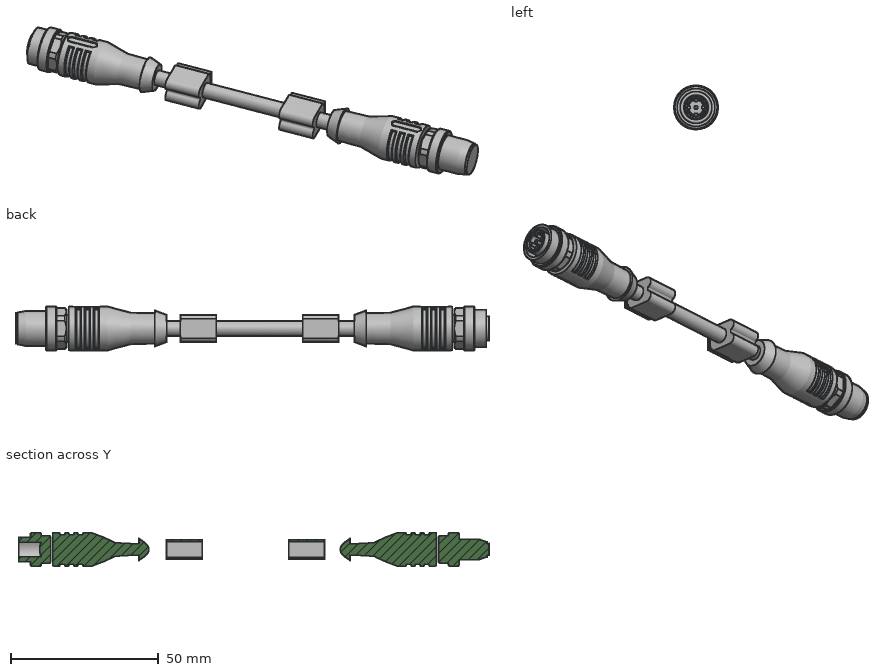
import cadquery as cq
import math

total_length = 160.4
half_length = total_length / 2
cable_diameter = 5.2
cable_embedding = 1.0

grip_diameter = 15.0
grip_front_taper_length = 0.6
grip_front_taper_height = 0.1
grip_cylinder_length = 13.2
grip_neck_start = 21.0
grip_neck_diameter = 10.8
sleeve_start = 29.2
sleeve_root_diameter = 10.5
sleeve_rim_diameter = 12.3
grip_length = 33.2
sleeve_end_diameter = 9.3

groove_count = 3
groove_pitch = 3.05
first_groove_center = 3.3
groove_top_width = 2.0
groove_floor_width = 1.2
groove_depth = 0.5
groove_free_half_width = 3.0

slot_start = 0.8
slot_length = 10.6
slot_width = 2.4
slot_depth = 0.5

collar_diameter = 15.0
collar_chamfer = 0.35
hex_across_flats = 13.0
hex_corner_diameter = 14.0
hex_chamfer_length = 0.6
hex_chamfer_height = 0.6
neck_diameter = 9.3

socket_insert_projection = 1.0
socket_sleeve_diameter = 12.8
socket_collar_start = 4.9
socket_hex_start = 8.7
socket_hex_end = 11.9
socket_grip_start = 12.5
socket_bore_diameter = 10.8
socket_bore_end = 8.7
insert_diameter = 8.3
recess_rim_diameter = 7.4
recess_floor_diameter = 6.15
recess_depth = 0.3
contact_diameter = 1.15
contact_offset = 2.5
contact_depth = 6.0

plug_tip_diameter = 10.5
plug_tip_length = 0.7
plug_lead_diameter = 10.95
plug_thread_diameter = 12.0
plug_thread_start = 3.4
plug_collar_start = 10.1
plug_hex_start = 13.9
plug_hex_end = 17.2
plug_grip_start = 17.9

clip_length = 12.2
clip_centers = (-23.1, 18.3)
clip_half_height = 4.6
clip_front = -6.05
clip_back = 4.7
clip_corner_radius = 2.05
lip_wrap_angle = 65
lip_groove_sag = 0.3
tab_back = 6.05
tab_half_height = 3.3
label_slot_front = 4.75
label_slot_back = 5.45
label_slot_half_height = 2.6


def cylinder(start, end, diameter):
    """Round bar along X."""
    return cq.Workplane("YZ", origin=(start, 0, 0)).circle(diameter / 2).extrude(end - start)


def hex_section(start, end):
    """Hexagon with flats on +/-Y, rounded corners and a chamfered end towards the grip."""
    plane = cq.Workplane("YZ", origin=(start, 0, 0))
    hexagon = plane.polygon(6, hex_across_flats, circumscribed=True).extrude(end - start)
    envelope = cylinder(start, end, hex_corner_diameter)
    return hexagon.intersect(envelope.faces(">X").chamfer(hex_chamfer_length, hex_chamfer_height))


def collar(start, end):
    return cylinder(start, end, collar_diameter).edges().chamfer(collar_chamfer)


def grip_body():
    """Turned outline of the grip, front face at X = 0."""
    outline = [
        (0, 0),
        (0, grip_diameter / 2 - grip_front_taper_height),
        (grip_front_taper_length, grip_diameter / 2),
        (grip_cylinder_length, grip_diameter / 2),
        (grip_neck_start, grip_neck_diameter / 2),
        (sleeve_start, sleeve_root_diameter / 2),
        (sleeve_start, sleeve_rim_diameter / 2),
        (grip_length, sleeve_end_diameter / 2),
        (grip_length, 0),
    ]
    return cq.Workplane("XY").polyline(outline).close().revolve(360, (0, 0, 0), (1, 0, 0))


def finger_grooves():
    """Ring-shaped cutters, interrupted over the top and the bottom of the grip."""
    outer_radius = grip_diameter / 2
    floor_radius = outer_radius - groove_depth
    half_top = groove_top_width / 2
    half_floor = groove_floor_width / 2
    gap = cq.Workplane("XY").box(grip_length, 2 * groove_free_half_width, 2 * grip_diameter)
    cutters = cq.Workplane("XY")
    for index in range(groove_count):
        center = first_groove_center + index * groove_pitch
        section = [
            (center - half_top, outer_radius),
            (center - half_floor, floor_radius),
            (center + half_floor, floor_radius),
            (center + half_top, outer_radius),
            (center + half_top, grip_diameter),
            (center - half_top, grip_diameter),
        ]
        ring = cq.Workplane("XY").polyline(section).close().revolve(360, (0, 0, 0), (1, 0, 0))
        cutters = cutters.add(ring.cut(gap))
    return cutters.combine()


def index_slot():
    center = slot_start + slot_length / 2
    floor = cq.Workplane("XY", origin=(center, 0, grip_diameter / 2 - slot_depth))
    return floor.slot2D(slot_length, slot_width).extrude(grip_diameter)


def grip():
    return grip_body().cut(finger_grooves()).cut(index_slot())


def socket_connector():
    """Female end: round bore with a seal ring and a projecting contact insert, front at X = 0."""
    sleeve = cylinder(socket_insert_projection, socket_hex_start, socket_sleeve_diameter)
    body = sleeve.union(collar(socket_collar_start, socket_hex_start))
    body = body.union(hex_section(socket_hex_start, socket_hex_end))
    body = body.cut(cylinder(0, socket_bore_end, socket_bore_diameter))
    body = body.union(cylinder(socket_hex_start, socket_grip_start, neck_diameter))

    gap_width = (socket_bore_diameter - insert_diameter) / 2
    ring_radius = (socket_bore_diameter + insert_diameter) / 4
    seal_profile = cq.Workplane("XY").center(socket_bore_end, ring_radius).circle(gap_width / 2)
    body = body.union(seal_profile.revolve(360, (0, -ring_radius, 0), (1, -ring_radius, 0)))

    insert = cylinder(0, socket_hex_end, insert_diameter)
    recess = cq.Workplane("YZ").circle(recess_rim_diameter / 2).workplane(offset=recess_depth)
    insert = insert.cut(recess.circle(recess_floor_diameter / 2).loft())
    contacts = [(0, 0)]
    for side in (-contact_offset, contact_offset):
        contacts += [(side, 0), (0, side)]
    holes = cq.Workplane("YZ").pushPoints(contacts).circle(contact_diameter / 2).extrude(contact_depth)
    body = body.union(insert.cut(holes))
    return body.union(grip().translate((socket_grip_start, 0, 0)))


def plug_connector():
    """Male end, front at X = 0 and cable towards +X."""
    outline = [
        (0, 0),
        (0, plug_tip_diameter / 2),
        (plug_tip_length, plug_tip_diameter / 2),
        (plug_tip_length, plug_lead_diameter / 2),
        (plug_thread_start, plug_thread_diameter / 2),
        (plug_collar_start, plug_thread_diameter / 2),
        (plug_collar_start, 0),
    ]
    body = cq.Workplane("XY").polyline(outline).close().revolve(360, (0, 0, 0), (1, 0, 0))
    body = body.union(collar(plug_collar_start, plug_hex_start))
    body = body.union(hex_section(plug_hex_start, plug_hex_end))
    body = body.union(cylinder(plug_hex_start, plug_grip_start, neck_diameter))
    return body.union(grip().translate((plug_grip_start, 0, 0)))


def marker_clip(center):
    """Clip around the cable: two rounded lips in front, a label holder behind."""
    plane = cq.Workplane("YZ", origin=(center - clip_length / 2, 0, 0))
    depth = clip_back - clip_front
    middle = (clip_back + clip_front) / 2
    body = plane.center(middle, 0).rect(depth, 2 * clip_half_height).extrude(clip_length)
    body = body.edges("|X").fillet(clip_corner_radius)

    lip_center_y = clip_front + clip_corner_radius
    lip_center_z = clip_half_height - clip_corner_radius

    def lip_point(degrees, side):
        """Point on the upper (side 1) or lower (side -1) lip, turned inwards from its front."""
        angle = math.radians(degrees)
        y = lip_center_y - clip_corner_radius * math.cos(angle)
        z = lip_center_z - clip_corner_radius * math.sin(angle)
        return (y, side * z)

    root_y = lip_point(lip_wrap_angle, 1)[0]
    groove = (
        plane.moveTo(*lip_point(lip_wrap_angle, 1))
        .threePointArc(lip_point(lip_wrap_angle / 2, 1), lip_point(0, 1))
        .lineTo(*lip_point(0, -1))
        .threePointArc(lip_point(lip_wrap_angle / 2, -1), lip_point(lip_wrap_angle, -1))
        .threePointArc((root_y + lip_groove_sag, 0), lip_point(lip_wrap_angle, 1))
        .close()
        .extrude(clip_length)
    )
    body = body.cut(groove)

    tab = plane.center(tab_back / 2, 0).rect(tab_back, 2 * tab_half_height).extrude(clip_length)
    label_slot = (
        plane.center((label_slot_front + label_slot_back) / 2, 0)
        .rect(label_slot_back - label_slot_front, 2 * label_slot_half_height)
        .extrude(clip_length)
    )
    return body.union(tab).cut(label_slot)


def cable():
    """Round cable whose ends sink into both grips."""
    start = -half_length + socket_grip_start + grip_length - cable_embedding
    end = half_length - plug_grip_start - grip_length + cable_embedding
    return cylinder(start, end, cable_diameter)


socket_end = socket_connector().translate((-half_length, 0, 0))
plug_end = plug_connector().mirror("YZ").translate((half_length, 0, 0))
result = socket_end.union(plug_end).union(cable())
for clip_center in clip_centers:
    result = result.union(marker_clip(clip_center))